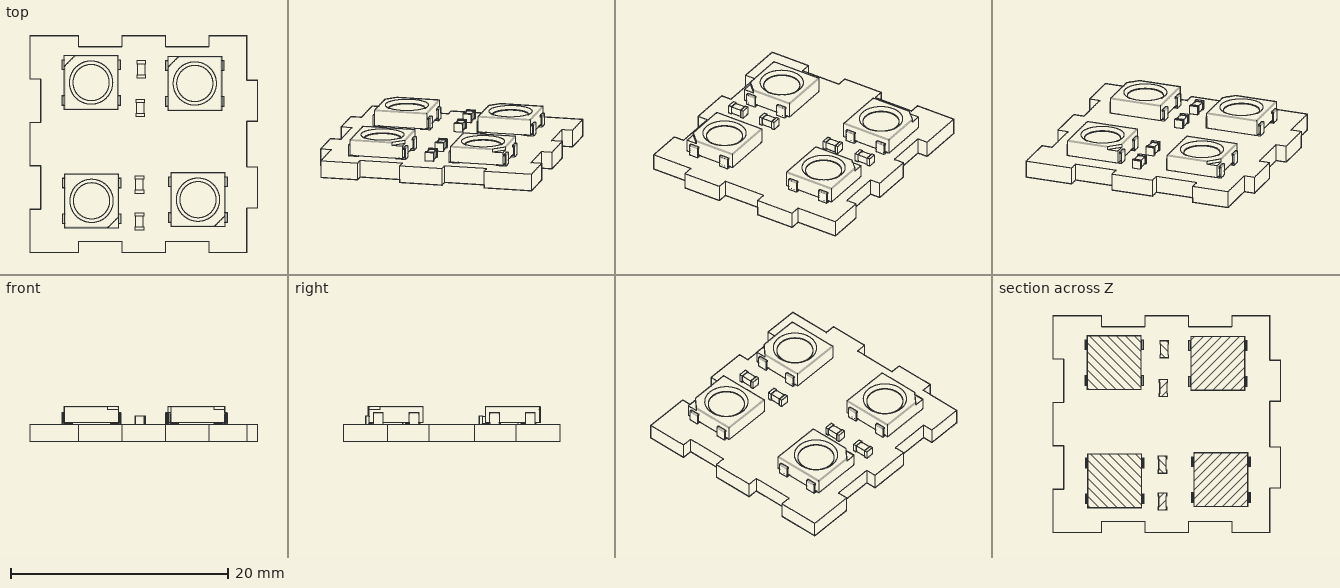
import cadquery as cq

board_side = 20.0
board_thickness = 1.6
finger_depth = 1.0
finger_pitch = 8.0
notch_width = 4.0
tab_width = 3.8
end_notch_shift = 0.5

led_side = 4.98
led_height = 1.65
led_standoff = 0.17
led_edge_radius = 0.06
mark_leg = 1.0
mark_depth = 0.3
lens_top_diameter = 4.0
lens_floor_diameter = 3.34
lens_cone_depth = 0.3
lens_step_depth = 0.06

lead_reach = 0.2
lead_thickness = 0.13
lead_width = 0.9
lead_height = 1.1
lead_pitch = 3.3
lead_bend_radius = 0.08
foot_length = 0.92

led_places = [
    (-4.35, 5.67, 0),
    (5.2, 5.59, 0),
    (-4.3, -5.23, 180),
    (5.5, -5.12, 180),
]

chip_length = 1.6
chip_width = 0.8
chip_height = 0.8
chip_cap_length = 0.3
chip_core_inset = 0.052

chip_places = [
    (0.27, 6.89),
    (0.19, 3.32),
    (0.1, -3.74),
    (0.1, -7.15),
]


def make_board():
    half = board_side / 2
    board = cq.Workplane("XY").box(board_side, board_side, board_thickness, centered=(True, True, False))

    notch_offset = half - finger_depth / 2
    for side in (-1, 1):
        finger_offset = side * finger_pitch / 2
        left_notch = (
            cq.Workplane("XY")
            .center(-notch_offset, finger_offset)
            .rect(finger_depth, notch_width)
            .extrude(board_thickness)
        )
        right_tab = (
            cq.Workplane("XY")
            .center(half + finger_depth / 2, finger_offset)
            .rect(finger_depth, tab_width)
            .extrude(board_thickness)
        )
        end_notches = (
            cq.Workplane("XY")
            .pushPoints([(finger_offset + end_notch_shift, end * notch_offset) for end in (-1, 1)])
            .rect(notch_width, finger_depth)
            .extrude(board_thickness)
        )
        board = board.cut(left_notch).cut(end_notches).union(right_tab)
    return board


def make_lead():
    """C-shaped sheet lead on the +X flank: a tab from the package, a riser and a foot turned under it."""
    package_flank = led_side / 2
    outer = package_flank + lead_reach
    inner = outer - lead_thickness
    profile = [
        (package_flank, lead_height),
        (outer, lead_height),
        (outer, 0),
        (outer - foot_length, 0),
        (outer - foot_length, lead_thickness),
        (inner, lead_thickness),
        (inner, lead_height - lead_thickness),
        (package_flank, lead_height - lead_thickness),
    ]
    return (
        cq.Workplane("XZ")
        .polyline(profile)
        .close()
        .extrude(lead_width / 2, both=True)
        .edges(">X and >Z")
        .fillet(lead_bend_radius)
    )


def make_led():
    """LED package resting on Z = 0, with its orientation notch at the -X, +Y corner."""
    half = led_side / 2
    led = (
        cq.Workplane("XY", origin=(0, 0, led_standoff))
        .box(led_side, led_side, led_height - led_standoff, centered=(True, True, False))
        .faces(">Z")
        .edges()
        .fillet(led_edge_radius)
    )

    mark = (
        cq.Workplane("XY", origin=(0, 0, led_height - mark_depth))
        .polyline([(-half, half), (-half + mark_leg, half), (-half, half - mark_leg)])
        .close()
        .extrude(mark_depth)
    )

    lens_cone = (
        cq.Workplane("XY", origin=(0, 0, led_height - lens_cone_depth))
        .circle(lens_floor_diameter / 2)
        .workplane(offset=lens_cone_depth)
        .circle(lens_top_diameter / 2)
        .loft()
    )
    lens_floor = (
        cq.Workplane("XY", origin=(0, 0, led_height - lens_cone_depth - lens_step_depth))
        .circle(lens_floor_diameter / 2)
        .extrude(lens_step_depth)
    )
    led = led.cut(mark).cut(lens_cone).cut(lens_floor)

    for turn in (0, 180):
        for row in (-1, 1):
            lead = make_lead().rotate((0, 0, 0), (0, 0, 1), turn).translate((0, row * lead_pitch / 2, 0))
            led = led.union(lead)
    return led


def make_chip():
    """Chip component resting on Z = 0, with its length along Y."""
    core = cq.Workplane("XY", origin=(0, 0, chip_core_inset)).box(
        chip_width - 2 * chip_core_inset,
        chip_length - 2 * chip_cap_length,
        chip_height - 2 * chip_core_inset,
        centered=(True, True, False),
    )
    caps = (
        cq.Workplane("XY")
        .pushPoints([(0, end * (chip_length - chip_cap_length) / 2) for end in (-1, 1)])
        .rect(chip_width, chip_cap_length)
        .extrude(chip_height)
    )
    return core.union(caps)


board = make_board()

leds = []
for x, y, turn in led_places:
    led = make_led().rotate((0, 0, 0), (0, 0, 1), turn).translate((x, y, board_thickness))
    leds.append(led)

chips = []
for x, y in chip_places:
    chip = make_chip().translate((x, y, board_thickness))
    chips.append(chip)

result = cq.Compound.makeCompound([body.val() for body in [board, *leds, *chips]])